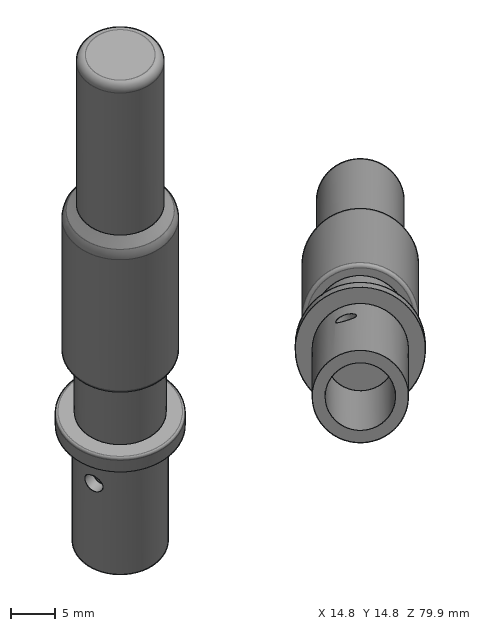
import cadquery as cq

total_length = 79.9

barrel_diameter = 10.95
collar_diameter = 14.8
neck_diameter = 10.5
body_diameter = 13.3
pin_diameter = 10.0

collar_bottom = 18.9
collar_top = 21.2
body_bottom = 31.0
pin_bottom = 55.45

tip_radius = 1.0
shoulder_radius = 1.7
body_lower_radius = 0.5
collar_radius = 0.3

bore_diameter = 8.0
bore_depth = 16.0
inspection_diameter = 2.5
inspection_height = 14.1

edge_margin = 0.1


def section(diameter, bottom, top):
    """Solid cylinder on the Z axis between two heights."""
    return cq.Workplane("XY").workplane(offset=bottom).circle(diameter / 2).extrude(top - bottom)


def make_body():
    """Wide section with a 45 degree shoulder that meets the pin diameter."""
    shoulder = (body_diameter - pin_diameter) / 2
    body = section(body_diameter, body_bottom, pin_bottom)
    body = body.faces(">Z").chamfer(shoulder)
    shoulder_edge = cq.selectors.BoxSelector(
        (-body_diameter, -body_diameter, pin_bottom - shoulder - edge_margin),
        (body_diameter, body_diameter, pin_bottom - shoulder + edge_margin),
    )
    body = body.edges("%CIRCLE").edges(shoulder_edge).fillet(shoulder_radius)
    return body.faces("<Z").edges().fillet(body_lower_radius)


def make_inspection_hole():
    """Radial cutter from the -Y side to the axis."""
    return (
        cq.Workplane("XZ")
        .center(0, inspection_height)
        .circle(inspection_diameter / 2)
        .extrude(barrel_diameter)
    )


barrel = section(barrel_diameter, 0, collar_bottom)
collar = section(collar_diameter, collar_bottom, collar_top).faces(">Z").edges().fillet(collar_radius)
neck = section(neck_diameter, collar_top, body_bottom)
pin = section(pin_diameter, pin_bottom, total_length).faces(">Z").edges().fillet(tip_radius)

result = barrel.union(collar).union(neck).union(make_body()).union(pin)
result = result.cut(section(bore_diameter, 0, bore_depth))
result = result.cut(make_inspection_hole())